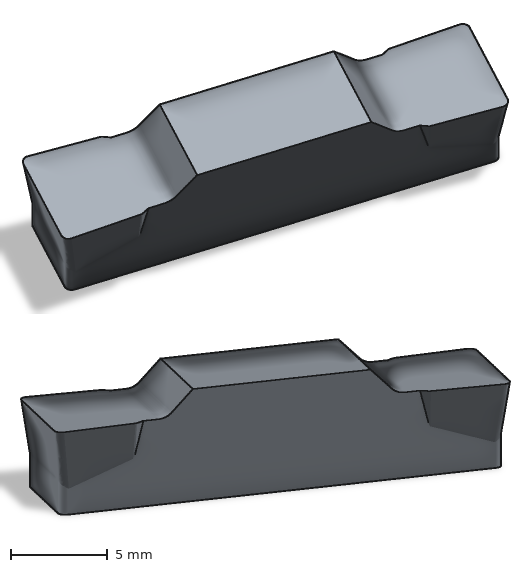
import cadquery as cq
import math

overall_length = 24.92
overall_height = 6.13
body_width = 5.2
head_setback = 0.35
body_length = overall_length - 2 * head_setback
body_corner_radius = 0.4

ledge_height = 4.68
crown_length = 9.72
slope_angle = 45.0
slope_root_radius = 1.0

edge_half_width = 3.05
head_depth = 3.45
front_relief = 7.0
side_relief = 7.0
back_taper = 2.5
shoulder_distance = 4.44
shoulder_lean = 1.4
neck_angle = 28.0
neck_inner_half_width = 1.25
head_corner_radius = 0.4
shoulder_radius = 0.25


def tangent(degrees):
    return math.tan(math.radians(degrees))


def make_body():
    """Bar with rounded vertical corners and a raised crown."""
    bar = (
        cq.Workplane("XY")
        .rect(body_width, body_length)
        .extrude(overall_height)
        .edges("|Z")
        .fillet(body_corner_radius)
    )
    crown_end = crown_length / 2
    slope_foot = crown_end + (overall_height - ledge_height) / tangent(slope_angle)
    profile = (
        cq.Workplane("YZ")
        .moveTo(-body_length / 2, 0)
        .lineTo(body_length / 2, 0)
        .lineTo(body_length / 2, ledge_height)
        .lineTo(slope_foot, ledge_height)
        .lineTo(crown_end, overall_height)
        .lineTo(-crown_end, overall_height)
        .lineTo(-slope_foot, ledge_height)
        .lineTo(-body_length / 2, ledge_height)
        .close()
        .extrude(body_width / 2, both=True)
    )
    for side in (-1, 1):
        root = cq.selectors.NearestToPointSelector((0, side * slope_foot, ledge_height))
        profile = profile.edges(root).fillet(slope_root_radius)
    return bar.intersect(profile)


def head_outline(depth):
    """Plan outline of the -Y head at a depth below the ledge."""
    def flank_half_width(distance):
        return edge_half_width - distance * tangent(back_taper) - depth * tangent(side_relief)

    front = depth * tangent(front_relief)
    shoulder = shoulder_distance - depth * tangent(shoulder_lean)
    front_half_width = flank_half_width(front)
    shoulder_half_width = flank_half_width(shoulder)
    neck = shoulder + (shoulder_half_width - neck_inner_half_width) / tangent(neck_angle)
    right_side = [
        (front_half_width, front),
        (shoulder_half_width, shoulder),
        (neck_inner_half_width, neck),
    ]
    left_side = [(-x, distance) for x, distance in reversed(right_side)]
    return [(x, distance - overall_length / 2) for x, distance in right_side + left_side]


def make_head():
    """Cutting head at the -Y end, with relief below its top edges."""
    head = (
        cq.Workplane("XY", origin=(0, 0, ledge_height - head_depth))
        .polyline(head_outline(head_depth))
        .close()
        .workplane(offset=head_depth)
        .polyline(head_outline(0))
        .close()
        .loft(ruled=True, combine=True)
    )
    middle_depth = head_depth / 2
    corners = head_outline(middle_depth)
    front_right, shoulder_right = corners[:2]
    shoulder_left, front_left = corners[-2:]
    rounded_edges = (
        (front_right, head_corner_radius),
        (front_left, head_corner_radius),
        (shoulder_right, shoulder_radius),
        (shoulder_left, shoulder_radius),
    )
    for (x, y), radius in rounded_edges:
        edge = cq.selectors.NearestToPointSelector((x, y, ledge_height - middle_depth))
        head = head.edges(edge).fillet(radius)
    return head


head = make_head()
opposite_head = head.rotate((0, 0, 0), (0, 0, 1), 180)
result = make_body().union(head).union(opposite_head).clean()